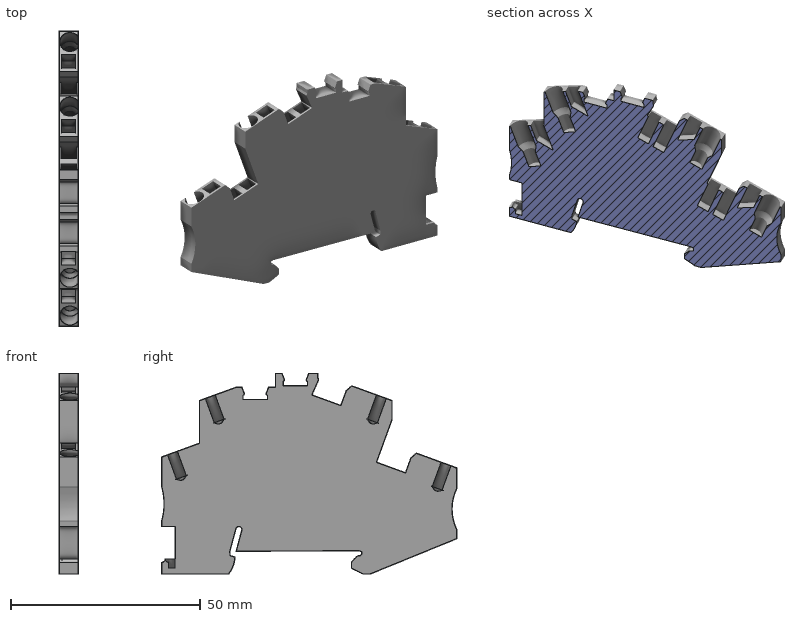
import cadquery as cq
import math

THICKNESS = 5.15
LENGTH = 78.0
HEIGHT = 53.05

FACE_TILT = math.radians(20)
LOW_LEFT = (LENGTH, 28.1)
TIER_STEP = (-17.1, 17.8)
HIGH_LEFT = (LOW_LEFT[0] + TIER_STEP[0], LOW_LEFT[1] + TIER_STEP[1])
LOW_RIGHT = (0.0, 31.0)
HIGH_RIGHT = (10.0, HIGH_LEFT[1])
RIGHT_FACE_END = 19.65

FACE_LENGTH = 11.4
NOTCH_CHAMFER = (12.3, 1.7)
NOTCH_DEPTH = 5.85
NOTCH_LENGTH = 8.1

ENTRY_DISTANCE = 3.05
ENTRY_OFFSET_X = 0.3
ENTRY_RADIUS = 2.65
ENTRY_DEPTH = 6.9
CONE_DEPTH = 1.6
BORE_RADIUS = 1.8
BORE_DEPTH = 4.7
ENTRY_RUNOUT = 1.55

POCKET_START = 6.6
POCKET_LENGTH = 3.75
POCKET_WIDTH = 3.75
POCKET_OFFSET_X = -0.1
POCKET_OUTER_DEPTH = 5.0
POCKET_INNER_DEPTH = 8.2

SHAFT_STARTS = (0.0, 4.7)
SHAFT_LENGTH = 3.1
SHAFT_WIDTH = 4.05
SHAFT_DEPTH = 9.0

SLOT_DEPTH = 3.2
SLOT_WIDTH = 6.4
SLOT_LIP = 0.4
SLOT_LIP_DEPTH = 1.8
SLOT_UNDERCUT_DEPTH = 2.2
SLOT_FLARE = 0.3
LOW_TOP = HIGH_RIGHT[1] + (RIGHT_FACE_END - HIGH_RIGHT[0]) * math.tan(FACE_TILT)
LOW_SLOT_START = 21.5
HIGH_SLOT_START = 32.1
TOP_STEP_Y = 30.0

HOOK_Y = 41.3
HOOK_TIP = (41.5, 51.3)
HOOK_STRAIGHT_Z = 51.95

RIGHT_RECESS = (14.05, 23.1, 0.6)
LEFT_RECESS = (11.8, 22.6, 1.25)

FOOT_NOTCH_DEPTH = 3.6
FOOT_NOTCH_BOTTOM = 4.05
FOOT_NOTCH_TOP = 12.55

RIM_RADIUS = 0.9
TROUGH_FLOOR = 1.55
TROUGH_WALL = 0.8

SEAT_Z = 6.0
SLIT_TILT = math.radians(15)
SLIT_WIDTH = 1.55
SLIT_TOP = 12.55
SLIT_MOUTH_Y = 19.65
FIXED_CLAW = [
    (55.1, 0),
    (53.3, 0),
    (50.15, 1.55),
    (50.15, 3.2),
    (51.7, 4.8),
    (52.4, 4.9),
    (52.8, 5.2),
    (52.8, 5.9),
    (52.1, 6.2),
]
LEFT_BOTTOM_Z = 9.35
SPRING_CLAW_ROOT = (18.1, 4.9)
SPRING_CLAW_TIP = (19.4, 4.5)
SPRING_CLAW_BULGE = (18.8, 1.9)
SPRING_CLAW_BOTTOM = (17.7, 0)


def face_point(corner, inward, along, depth):
    """Point at a distance along a terminal face and below it; inward is +1 or -1 in Y."""
    y, z = corner
    c, s = math.cos(FACE_TILT), math.sin(FACE_TILT)
    return (y + inward * (along * c + depth * s), z + along * s - depth * c)


def left_tier(corner):
    """Terminal face and marker notch of one left tier, ordered from notch end to corner."""
    return [
        face_point(corner, -1, NOTCH_CHAMFER[0] + NOTCH_LENGTH, NOTCH_DEPTH),
        face_point(corner, -1, NOTCH_CHAMFER[0], NOTCH_DEPTH),
        face_point(corner, -1, *NOTCH_CHAMFER),
        face_point(corner, -1, FACE_LENGTH, 0),
        corner,
    ]


def snap_slot(start, top):
    """Outline of a snap slot with lips on both sides, ordered toward +Y."""
    low_side = [
        (start - SLOT_FLARE, top),
        (start + SLOT_LIP, top - SLOT_LIP_DEPTH),
        (start, top - SLOT_UNDERCUT_DEPTH),
        (start, top - SLOT_DEPTH),
    ]
    high_side = [(2 * start + SLOT_WIDTH - y, z) for y, z in reversed(low_side)]
    return low_side + high_side


def body():
    step_z = LOW_RIGHT[1] + HIGH_RIGHT[0] * math.tan(FACE_TILT)
    low_tier = left_tier(LOW_LEFT)
    high_tier = left_tier(HIGH_LEFT)
    overhang_z = low_tier[0][1] + (HIGH_LEFT[0] - low_tier[0][0]) / math.tan(FACE_TILT)

    right_bottom, right_top, right_depth = RIGHT_RECESS
    left_bottom, left_top, left_depth = LEFT_RECESS
    slit_c, slit_s = math.cos(SLIT_TILT), math.sin(SLIT_TILT)
    slit_radius = SLIT_WIDTH / 2
    slit_step = SLIT_WIDTH / slit_c
    end_z = SLIT_TOP - slit_radius
    end_y = SLIT_MOUTH_Y - slit_step / 2 + (end_z - SEAT_Z) * math.tan(SLIT_TILT)
    slit_seat_side = (end_y + slit_radius * slit_c, end_z - slit_radius * slit_s)
    slit_tip = (end_y + slit_radius * slit_s, end_z + slit_radius * slit_c)
    slit_claw_side = (end_y - slit_radius * slit_c, end_z + slit_radius * slit_s)

    outline = (
        cq.Workplane("YZ", origin=(-THICKNESS / 2, 0, 0))
        .moveTo(0, 0)
        .lineTo(0, FOOT_NOTCH_BOTTOM - RIM_RADIUS)
        .radiusArc((RIM_RADIUS, FOOT_NOTCH_BOTTOM), -RIM_RADIUS)
        .lineTo(FOOT_NOTCH_DEPTH, FOOT_NOTCH_BOTTOM)
        .lineTo(FOOT_NOTCH_DEPTH, FOOT_NOTCH_TOP)
        .lineTo(0, FOOT_NOTCH_TOP)
        .lineTo(0, right_bottom)
        .threePointArc((right_depth, (right_bottom + right_top) / 2), (0, right_top))
    )
    top_edge = [
        LOW_RIGHT,
        (HIGH_RIGHT[0], step_z),
        HIGH_RIGHT,
        (RIGHT_FACE_END, LOW_TOP),
        *snap_slot(LOW_SLOT_START, LOW_TOP),
        (TOP_STEP_Y, LOW_TOP),
        (TOP_STEP_Y, HEIGHT),
        *snap_slot(HIGH_SLOT_START, HEIGHT),
        (HOOK_Y, HEIGHT),
        (HOOK_Y, HOOK_STRAIGHT_Z),
        HOOK_TIP,
        *high_tier,
        (HIGH_LEFT[0], overhang_z),
        *low_tier,
        (LENGTH, left_top),
    ]
    for point in top_edge:
        outline = outline.lineTo(*point)
    outline = outline.threePointArc(
        (LENGTH - left_depth, (left_bottom + left_top) / 2), (LENGTH, left_bottom)
    )
    bottom_edge = [
        (LENGTH, LEFT_BOTTOM_Z),
        *FIXED_CLAW,
        (SLIT_MOUTH_Y, SEAT_Z),
        slit_seat_side,
    ]
    for point in bottom_edge:
        outline = outline.lineTo(*point)
    return (
        outline.threePointArc(slit_tip, slit_claw_side)
        .lineTo(SLIT_MOUTH_Y - slit_step, SEAT_Z)
        .lineTo(*SPRING_CLAW_ROOT)
        .lineTo(*SPRING_CLAW_TIP)
        .threePointArc(SPRING_CLAW_BULGE, SPRING_CLAW_BOTTOM)
        .close()
        .extrude(THICKNESS)
    )


def face_prism(corner, inward, profile, width, offset_x=0.0):
    """Prism whose profile is given as (along, depth) pairs on a terminal face."""
    points = [face_point(corner, inward, along, depth) for along, depth in profile]
    plane = cq.Workplane("YZ", origin=(offset_x - width / 2, 0, 0))
    return plane.polyline(points).close().extrude(width)


def wire_entry(corner, inward):
    axis = cq.Vector(0, inward * math.sin(FACE_TILT), -math.cos(FACE_TILT))

    def at(depth):
        return cq.Vector(ENTRY_OFFSET_X, *face_point(corner, inward, ENTRY_DISTANCE, depth))

    neck = ENTRY_DEPTH + CONE_DEPTH
    entry = cq.Solid.makeCylinder(ENTRY_RADIUS, ENTRY_DEPTH + ENTRY_RUNOUT, at(-ENTRY_RUNOUT), axis)
    cone = cq.Solid.makeCone(ENTRY_RADIUS, BORE_RADIUS, CONE_DEPTH, at(ENTRY_DEPTH), axis)
    bore = cq.Solid.makeCylinder(BORE_RADIUS, BORE_DEPTH, at(neck), axis)
    return cq.Workplane(entry.fuse(cone, bore))


def release_pocket(corner, inward):
    end = POCKET_START + POCKET_LENGTH
    profile = [
        (POCKET_START, 0),
        (POCKET_START, POCKET_OUTER_DEPTH),
        (end, POCKET_INNER_DEPTH),
        (end, 0),
    ]
    return face_prism(corner, inward, profile, POCKET_WIDTH, POCKET_OFFSET_X)


def jumper_shaft(corner, start):
    near = NOTCH_CHAMFER[0] + start
    far = near + SHAFT_LENGTH
    bottom = NOTCH_DEPTH + SHAFT_DEPTH
    profile = [(near, NOTCH_DEPTH), (near, bottom), (far, bottom), (far, NOTCH_DEPTH)]
    return face_prism(corner, -1, profile, SHAFT_WIDTH)


def foot_trough():
    """Cut behind the foot rim that leaves a thin wall on the -X side."""
    rim_back = 2 * RIM_RADIUS
    return (
        cq.Workplane("YZ", origin=(-THICKNESS / 2 + TROUGH_WALL, 0, 0))
        .moveTo(FOOT_NOTCH_DEPTH, FOOT_NOTCH_BOTTOM)
        .lineTo(FOOT_NOTCH_DEPTH, TROUGH_FLOOR)
        .lineTo(rim_back, TROUGH_FLOOR)
        .lineTo(rim_back, FOOT_NOTCH_BOTTOM - RIM_RADIUS)
        .radiusArc((RIM_RADIUS, FOOT_NOTCH_BOTTOM), RIM_RADIUS)
        .close()
        .extrude(THICKNESS)
    )


result = body().cut(foot_trough())
for corner, inward in ((LOW_LEFT, -1), (HIGH_LEFT, -1), (LOW_RIGHT, 1), (HIGH_RIGHT, 1)):
    result = result.cut(wire_entry(corner, inward))
    result = result.cut(release_pocket(corner, inward))
for corner in (LOW_LEFT, HIGH_LEFT):
    for start in SHAFT_STARTS:
        result = result.cut(jumper_shaft(corner, start))